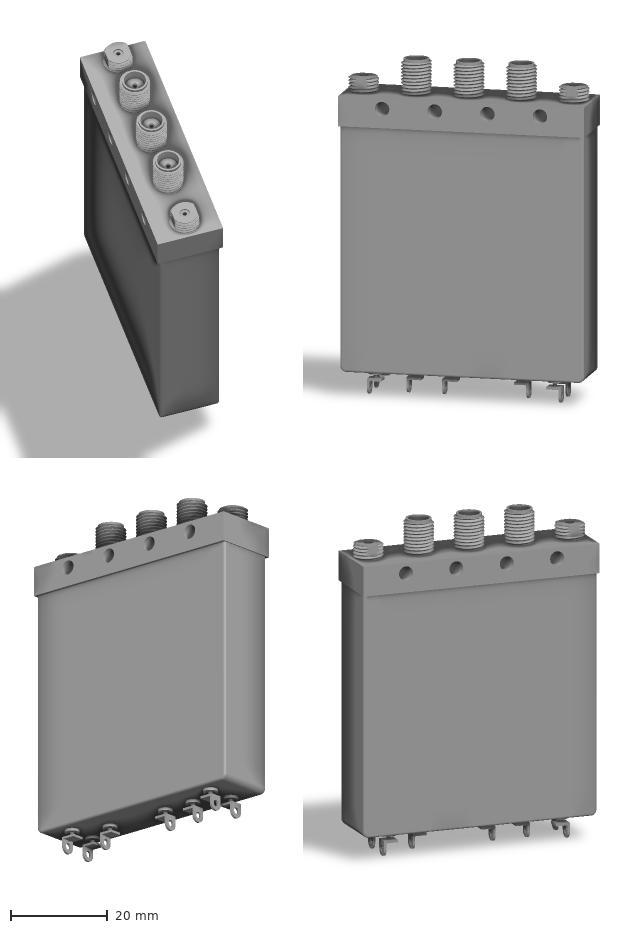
import cadquery as cq
import math

OVERALL_HEIGHT = 70.59

FLANGE_LENGTH = 52.32
FLANGE_DEPTH = 14.22
FLANGE_HEIGHT = 6.35
CONNECTOR_PITCH = 11.176
MOUNT_HOLE_DIAMETER = 3.05
MOUNT_HOLE_DROP = 2.29

HOUSING_LENGTH = 51.82
HOUSING_DEPTH = 12.9
HOUSING_END_RADIUS = 1.25
HOUSING_EDGE_RADIUS = 0.5

THREAD_MAJOR_DIAMETER = 6.35
THREAD_CORE_DIAMETER = 5.38
THREAD_PITCH = 25.4 / 36
THREAD_CREST_WIDTH = 0.08
THREAD_FLANK_ANGLE = 30
THREAD_ROOT_OVERLAP = 0.02

CONNECTOR_HEIGHT = 7.37
CONNECTOR_TIP_LENGTH = 0.6
CONNECTOR_BORE_DIAMETER = 4.57
CONNECTOR_FLOOR_DIAMETER = 3.9
CONNECTOR_BORE_DEPTH = 1.8
CONTACT_RECESS_DIAMETER = 1.17
CONTACT_RECESS_DEPTH = 0.2
CONTACT_HOLE_DIAMETER = 0.91
CONTACT_HOLE_DEPTH = 2.0

PLUG_HEIGHT = 3.18
PLUG_TIP_LENGTH = 0.15
PLUG_ACROSS_FLATS = 5.1
PLUG_FLAT_LENGTH = 2.45
PLUG_RECESS_DIAMETER = 2.09
PLUG_RECESS_DEPTH = 0.25
PLUG_HOLE_DIAMETER = 0.91
PLUG_HOLE_DEPTH = 2.0

TERMINAL_LENGTH = 4.9
BEAD_DIAMETER = 3.11
BEAD_HEIGHT = 0.6
POST_TOP_DIAMETER = 1.07
POST_END_DIAMETER = 0.71
LUG_TOP_DEPTH = 1.5
LUG_THICKNESS = 0.5
LUG_WIDTH = 2.8
LUG_HOLE_DIAMETER = 1.42
LUG_HOLE_DEPTH = 3.35
TERMINAL_ROW_PITCH = 3.175
TERMINAL_COLUMN_PITCH = 7.62
TERMINALS = [
    (-2.5, -1, -1),
    (-2.5, 1, -1),
    (-1.5, 0, -1),
    (0.5, 0, 1),
    (1.5, 0, 1),
    (2.5, -1, 1),
    (2.5, 1, 1),
]

HOUSING_HEIGHT = OVERALL_HEIGHT - CONNECTOR_HEIGHT - FLANGE_HEIGHT - TERMINAL_LENGTH
HOUSING_BOTTOM = -FLANGE_HEIGHT - HOUSING_HEIGHT


def cylinder(diameter, bottom, top):
    return cq.Workplane("XY").workplane(offset=bottom).circle(diameter / 2).extrude(top - bottom)


def make_flange():
    flange = cq.Workplane("XY").box(
        FLANGE_LENGTH, FLANGE_DEPTH, FLANGE_HEIGHT, centered=(True, True, False)
    ).translate((0, 0, -FLANGE_HEIGHT))
    hole_centres = [(i * CONNECTOR_PITCH, -MOUNT_HOLE_DROP) for i in (-1.5, -0.5, 0.5, 1.5)]
    holes = (
        cq.Workplane("XZ")
        .pushPoints(hole_centres)
        .circle(MOUNT_HOLE_DIAMETER / 2)
        .extrude(FLANGE_DEPTH, both=True)
    )
    return flange.cut(holes)


def make_housing():
    housing = cq.Workplane("XY").box(
        HOUSING_LENGTH, HOUSING_DEPTH, HOUSING_HEIGHT, centered=(True, True, False)
    ).translate((0, 0, HOUSING_BOTTOM))
    housing = housing.edges("<Z and |Y").fillet(HOUSING_END_RADIUS)
    return housing.faces("<Y or >Y").edges("not >Z").fillet(HOUSING_EDGE_RADIUS)


def make_threaded_stud(height, thread_top):
    """Stud rising to height above Z = 0, with a helical ridge cut off level at thread_top."""
    core_radius = THREAD_CORE_DIAMETER / 2
    major_radius = THREAD_MAJOR_DIAMETER / 2
    root_radius = core_radius - THREAD_ROOT_OVERLAP
    crest_half = THREAD_CREST_WIDTH / 2
    root_half = crest_half + (major_radius - root_radius) * math.tan(math.radians(THREAD_FLANK_ANGLE))

    start = -THREAD_PITCH
    stud_bottom = start / 2
    turns = math.ceil((thread_top - start) / THREAD_PITCH) + 1
    helix = cq.Wire.makeHelix(THREAD_PITCH, turns * THREAD_PITCH, root_radius)
    ridge = (
        cq.Workplane("XZ")
        .polyline([
            (root_radius, -root_half),
            (major_radius, -crest_half),
            (major_radius, crest_half),
            (root_radius, root_half),
        ])
        .close()
        .sweep(cq.Workplane(obj=helix), isFrenet=True)
        .translate((0, 0, start))
    )
    ridge = ridge.intersect(cylinder(2 * THREAD_MAJOR_DIAMETER, stud_bottom, thread_top))
    return cylinder(THREAD_CORE_DIAMETER, stud_bottom, height).union(ridge)


def make_connector():
    stud = make_threaded_stud(CONNECTOR_HEIGHT, CONNECTOR_HEIGHT - CONNECTOR_TIP_LENGTH)
    floor = CONNECTOR_HEIGHT - CONNECTOR_BORE_DEPTH
    contact_top = floor - CONTACT_RECESS_DEPTH
    bore = (
        cq.Workplane("XY")
        .workplane(offset=floor)
        .circle(CONNECTOR_FLOOR_DIAMETER / 2)
        .workplane(offset=CONNECTOR_BORE_DEPTH)
        .circle(CONNECTOR_BORE_DIAMETER / 2)
        .loft()
    )
    contact_recess = cylinder(CONTACT_RECESS_DIAMETER, contact_top, floor)
    contact_hole = cylinder(CONTACT_HOLE_DIAMETER, contact_top - CONTACT_HOLE_DEPTH, contact_top)
    return stud.cut(bore).cut(contact_recess).cut(contact_hole)


def make_plug():
    plug = make_threaded_stud(PLUG_HEIGHT, PLUG_HEIGHT - PLUG_TIP_LENGTH)
    flat_bottom = PLUG_HEIGHT - PLUG_FLAT_LENGTH
    flats = cylinder(2 * THREAD_MAJOR_DIAMETER, flat_bottom, PLUG_HEIGHT).cut(
        cq.Workplane("XY").box(3 * THREAD_MAJOR_DIAMETER, PLUG_ACROSS_FLATS, 3 * PLUG_HEIGHT)
    )
    recess_floor = PLUG_HEIGHT - PLUG_RECESS_DEPTH
    recess = cylinder(PLUG_RECESS_DIAMETER, recess_floor, PLUG_HEIGHT)
    hole = cylinder(PLUG_HOLE_DIAMETER, recess_floor - PLUG_HOLE_DEPTH, recess_floor)
    return plug.cut(flats).cut(recess).cut(hole)


def make_terminal():
    """Terminal hanging from Z = 0, with its lug bent down on the +X side."""
    bead = cylinder(BEAD_DIAMETER, -BEAD_HEIGHT, 0)
    post = (
        cq.Workplane("XY")
        .workplane(offset=-LUG_TOP_DEPTH)
        .circle(POST_END_DIAMETER / 2)
        .workplane(offset=LUG_TOP_DEPTH - BEAD_HEIGHT)
        .circle(POST_TOP_DIAMETER / 2)
        .loft()
    )

    plate = cq.Workplane("XY").box(
        BEAD_DIAMETER, LUG_WIDTH, LUG_THICKNESS, centered=(True, True, False)
    ).translate((0, 0, -LUG_TOP_DEPTH - LUG_THICKNESS))

    half_width = LUG_WIDTH / 2
    round_centre = half_width - TERMINAL_LENGTH
    leg = (
        cq.Workplane("YZ", origin=(BEAD_DIAMETER / 2 - LUG_THICKNESS, 0, 0))
        .moveTo(-half_width, -LUG_TOP_DEPTH)
        .lineTo(-half_width, round_centre)
        .threePointArc((0, -TERMINAL_LENGTH), (half_width, round_centre))
        .lineTo(half_width, -LUG_TOP_DEPTH)
        .close()
        .moveTo(0, -LUG_HOLE_DEPTH)
        .circle(LUG_HOLE_DIAMETER / 2)
        .extrude(LUG_THICKNESS)
    )
    return bead.union(post).union(plate).union(leg)


def assemble():
    part = make_flange().union(make_housing())

    connector = make_connector()
    for column in (-1, 0, 1):
        part = part.union(connector.translate((column * CONNECTOR_PITCH, 0, 0)))

    plug = make_plug()
    for column in (-2, 2):
        part = part.union(plug.translate((column * CONNECTOR_PITCH, 0, 0)))

    terminal = make_terminal()
    for column, row, bend_side in TERMINALS:
        turn = 0 if bend_side > 0 else 180
        place = (column * TERMINAL_COLUMN_PITCH, row * TERMINAL_ROW_PITCH, HOUSING_BOTTOM)
        part = part.union(terminal.rotate((0, 0, 0), (0, 0, 1), turn).translate(place))
    return part


result = cq.Workplane(obj=assemble().solids().val())